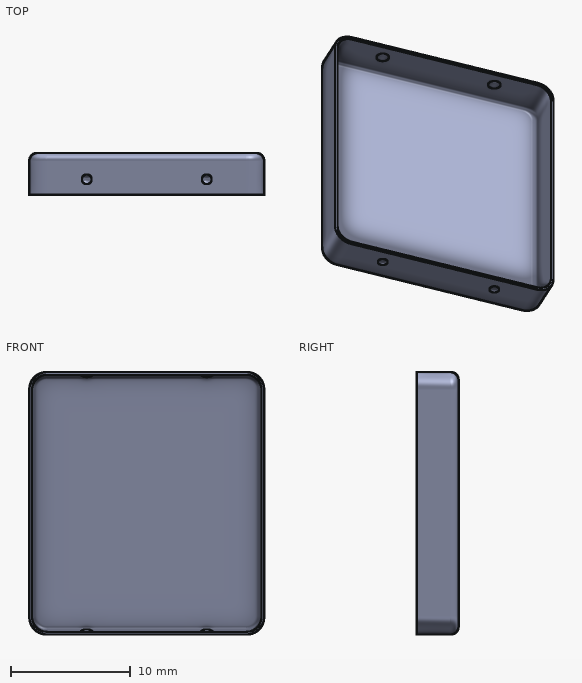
import cadquery as cq

width = 19.6
depth = 3.5
height = 21.9

wall = 0.25
corner_radius = 1.5
back_edge_radius = 0.7

dimple_spacing = 10.0
dimple_from_rim = 1.3
dimple_inner_radius = 0.5
dimple_center_offset = 0.295

rim_y = -depth / 2


def rounded_tray_block(inset):
    """Block with rounded corners and a rounded back edge, inset from the outer faces."""
    return (
        cq.Workplane("XZ", origin=(0, rim_y, 0))
        .rect(width - 2 * inset, height - 2 * inset)
        .extrude(-(depth - inset))
        .edges("|Y")
        .fillet(corner_radius - inset)
        .faces(">Y")
        .edges()
        .fillet(back_edge_radius - inset)
    )


def dimple_spheres(radius):
    """One sphere at each dimple, two along each of the top and bottom walls."""
    spheres = cq.Workplane("XY")
    for x in (-dimple_spacing / 2, dimple_spacing / 2):
        for side in (-1, 1):
            z = side * (height / 2 + dimple_center_offset)
            center = (x, rim_y + dimple_from_rim, z)
            spheres = spheres.add(cq.Workplane("XY").sphere(radius).translate(center))
    return spheres.combine()


outer_block = rounded_tray_block(0)
tray = outer_block.cut(rounded_tray_block(wall))

bulges = dimple_spheres(dimple_inner_radius + wall).intersect(outer_block)
result = tray.union(bulges).cut(dimple_spheres(dimple_inner_radius))